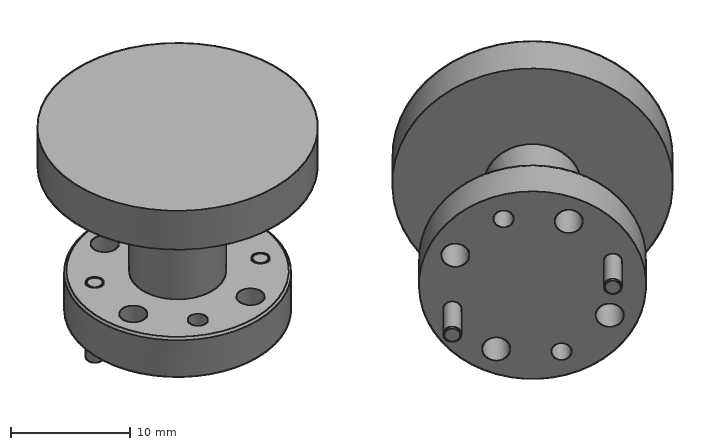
import cadquery as cq

disc_diameter = 23.5
disc_thickness = 4.07
neck_diameter = 8.15
neck_length = 10.93
flange_diameter = 19.04
flange_thickness = 4.07
flange_chamfer = 0.2

pitch_radius = 7.15
screw_hole_diameter = 2.35
screw_hole_angles = [0, 90, 180, 270]
dowel_hole_diameter = 1.7
dowel_hole_angles = [135, 315]
pin_diameter = 1.55
pin_angles = [45, 225]
pin_projection = 3.85
pin_chamfer = 0.12

flange_top = flange_thickness
disc_bottom = flange_top + neck_length
pin_length = flange_thickness + pin_projection


def cylinder(diameter, height, bottom):
    """Vertical cylinder on the central axis, starting at the given height."""
    return cq.Workplane("XY").workplane(offset=bottom).circle(diameter / 2).extrude(height)


def place_on_pitch_circle(shape, angle):
    """Move an axial shape out to the pitch circle at the given angle."""
    return shape.translate((pitch_radius, 0, 0)).rotate((0, 0, 0), (0, 0, 1), angle)


def drill_flange(body, diameter, angles):
    """Cut through holes in the flange at the given angles."""
    for angle in angles:
        drill = cylinder(diameter, flange_thickness, 0)
        body = body.cut(place_on_pitch_circle(drill, angle))
    return body


def make_flanged_body():
    """Disc, neck and drilled flange in one piece."""
    flange = cylinder(flange_diameter, flange_thickness, 0).faces(">Z").edges().chamfer(flange_chamfer)
    neck = cylinder(neck_diameter, neck_length, flange_top)
    disc = cylinder(disc_diameter, disc_thickness, disc_bottom)
    body = flange.union(neck).union(disc)
    body = drill_flange(body, screw_hole_diameter, screw_hole_angles)
    body = drill_flange(body, dowel_hole_diameter, dowel_hole_angles)
    return drill_flange(body, pin_diameter, pin_angles)


def make_pin(angle):
    """Alignment pin, chamfered at both ends, its top level with the flange."""
    pin = cylinder(pin_diameter, pin_length, -pin_projection)
    pin = pin.faces("<Z or >Z").edges().chamfer(pin_chamfer)
    return place_on_pitch_circle(pin, angle)


flanged_body = make_flanged_body()
pins = [make_pin(angle) for angle in pin_angles]

result = cq.Compound.makeCompound([flanged_body.val(), *[pin.val() for pin in pins]])